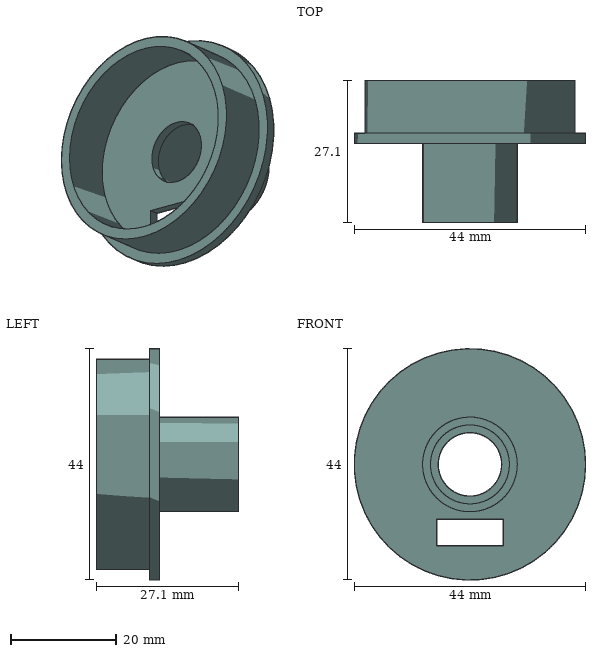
import cadquery as cq

flange_diameter = 44.0
flange_thickness = 2.0
body_diameter = 40.0
body_length = 10.05
body_wall = 2.0
tube_diameter = 18.0
tube_length = 15.0
tube_bore_diameter = 15.0
through_hole_diameter = 12.0
window_width = 12.6
window_height = 5.0
window_center_drop = 12.95

flange_back = flange_thickness
body_back = flange_back + body_length
tube_front = -tube_length


def cylinder(diameter, start, end):
    """Cylinder about the Y axis between two Y positions."""
    return cq.Workplane("XZ", origin=(0, start, 0)).circle(diameter / 2).extrude(start - end)


def window():
    """Rectangular opening below the tube, through the flange."""
    return (
        cq.Workplane("XZ")
        .center(0, -window_center_drop)
        .rect(window_width, window_height)
        .extrude(-flange_thickness)
    )


outside = (
    cylinder(flange_diameter, 0, flange_back)
    .union(cylinder(body_diameter, flange_back, body_back))
    .union(cylinder(tube_diameter, tube_front, 0))
)

tube_bore = cylinder(tube_bore_diameter, tube_front, 0)
through_hole = cylinder(through_hole_diameter, 0, flange_back)

cavity = cylinder(body_diameter - 2 * body_wall, flange_back, body_back)

result = outside.cut(tube_bore).cut(through_hole).cut(cavity).cut(window())